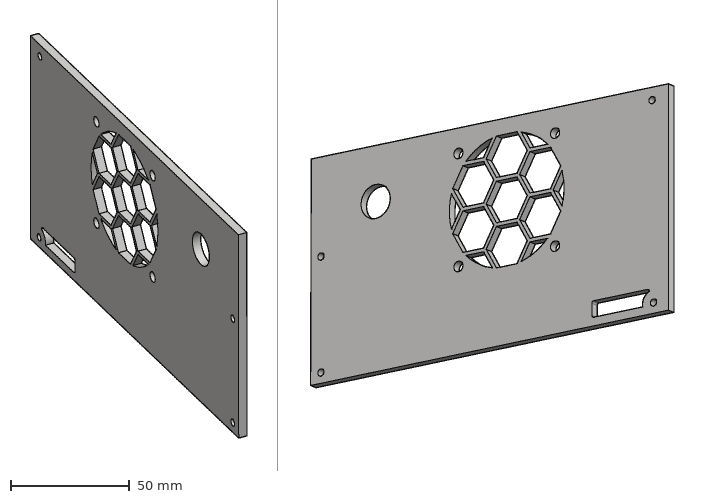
import cadquery as cq
import math

length = 185.0
thickness = 4.0
height = 100.1
top_length = 184.7

fan_x = 83.6
fan_z = 63.8
fan_diameter = 59.2
fan_screw_spacing = 50.0
fan_screw_diameter = 4.6
cell_pitch = 20.0
rib_width = 1.7
cell_rings = 2

port_center = (151.4, 75.3)
port_diameter = 15.0
mount_diameter = 3.1
lower_left_mount = (7.8, 4.8)
upper_left_mount = (8.5, 94.4)
right_mount_x = 179.7
right_mount_heights = (4.8, 56.0)

slot_left = 10.0
slot_right = 39.6
slot_bottom = 3.9
slot_top = 11.1
slot_corner_radius = 1.0
mount_clearance_radius = 5.7


def extrude_through(sketch):
    """Extrude an XZ sketch backwards through the plate thickness."""
    return sketch.extrude(-thickness)


def round_cutters(centers, diameter):
    return extrude_through(cq.Workplane("XZ").pushPoints(centers).circle(diameter / 2))


def make_plate():
    corners = [(0, 0), (length, 0), (top_length, height), (0, height)]
    return extrude_through(cq.Workplane("XZ").polyline(corners).close())


def honeycomb_centers():
    """Centers of a hexagonal patch of flat-topped cells around the fan axis."""
    column_pitch = cell_pitch * math.sqrt(3) / 2
    centers = []
    for column in range(-cell_rings, cell_rings + 1):
        cell_count = 2 * cell_rings + 1 - abs(column)
        for row in range(cell_count):
            row_offset = row - (cell_count - 1) / 2
            centers.append((fan_x + column * column_pitch, fan_z + row_offset * cell_pitch))
    return centers


def make_fan_cutter():
    """Honeycomb cells, trimmed to the round fan opening."""
    cell_corner_diameter = (cell_pitch - rib_width) * 2 / math.sqrt(3)
    cells = extrude_through(
        cq.Workplane("XZ").pushPoints(honeycomb_centers()).polygon(6, cell_corner_diameter)
    )
    return cells.intersect(round_cutters([(fan_x, fan_z)], fan_diameter))


def make_slot_cutter():
    corners = [
        (slot_left, slot_bottom),
        (slot_right, slot_bottom),
        (slot_right, slot_top),
        (slot_left, slot_top),
    ]
    slot = extrude_through(cq.Workplane("XZ").polyline(corners).close())
    clearance = round_cutters([lower_left_mount], 2 * mount_clearance_radius)
    rounded_corners = slot.edges("|Y and (>X or >Z)").fillet(slot_corner_radius)
    return rounded_corners.cut(clearance)


half_spacing = fan_screw_spacing / 2
fan_screws = [
    (fan_x + side * half_spacing, fan_z + level * half_spacing)
    for side in (-1, 1)
    for level in (-1, 1)
]
mounts = [lower_left_mount, upper_left_mount]
mounts += [(right_mount_x, mount_height) for mount_height in right_mount_heights]

result = (
    make_plate()
    .cut(make_fan_cutter())
    .cut(round_cutters(fan_screws, fan_screw_diameter))
    .cut(round_cutters([port_center], port_diameter))
    .cut(round_cutters(mounts, mount_diameter))
    .cut(make_slot_cutter())
)